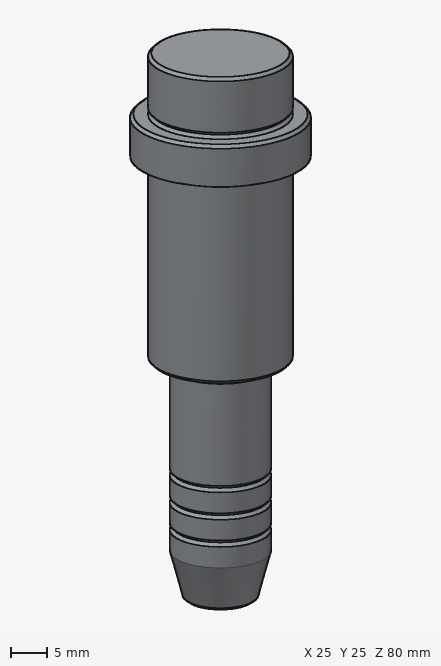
import cadquery as cq
import math

length = 80.0
head_radius = 20.0 / 2
collar_radius = 25.0 / 2
shank_radius = 14.0 / 2
neck_radius = 13.0 / 2

head_length = 8.0
groove_width = 1.0
collar_length = 6.1
body_length = 29.0
neck_length = 1.0
first_groove_depth = 61.0
groove_count = 3
groove_pitch = 4.0
taper_start_depth = 73.0
taper_angle = 15.0
chamfer = 0.5

head_bottom = length - head_length
collar_top = head_bottom - groove_width
collar_bottom = collar_top - collar_length
body_top = collar_bottom - groove_width
body_bottom = body_top - body_length
shank_top = body_bottom - neck_length
taper_top = length - taper_start_depth
tip_radius = shank_radius - taper_top * math.tan(math.radians(taper_angle))


def cylinder(radius, bottom, top):
    return cq.Workplane("XY").workplane(offset=bottom).circle(radius).extrude(top - bottom)


def v_groove(radius, top):
    """Ring that cuts a 90 degree V into a cylinder, with its upper edge at top."""
    half_width = groove_width / 2
    return (
        cq.Workplane("XZ")
        .moveTo(radius, top)
        .lineTo(radius - half_width, top - half_width)
        .lineTo(radius, top - groove_width)
        .close()
        .revolve(360, (0, 0, 0), (0, 1, 0))
    )


def make_head_and_body():
    bar = cylinder(head_radius, body_bottom, length).edges().chamfer(chamfer)
    for groove_top in (head_bottom, collar_bottom):
        bar = bar.cut(v_groove(head_radius, groove_top))
    return bar


def make_collar():
    return cylinder(collar_radius, collar_bottom, collar_top).faces(">Z").edges().chamfer(chamfer)


def make_tip():
    tip = (
        cq.Workplane("XY")
        .circle(tip_radius)
        .workplane(offset=taper_top)
        .circle(shank_radius)
        .loft(ruled=True)
    )
    return tip.faces("<Z").edges().chamfer(chamfer)


def make_shank():
    shank = cylinder(shank_radius, taper_top, shank_top)
    for index in range(groove_count):
        groove_top = length - first_groove_depth - index * groove_pitch
        shank = shank.cut(v_groove(shank_radius, groove_top))
    neck = cylinder(neck_radius, shank_top, body_bottom)
    return shank.union(neck).union(make_tip())


result = make_head_and_body().union(make_collar()).union(make_shank())